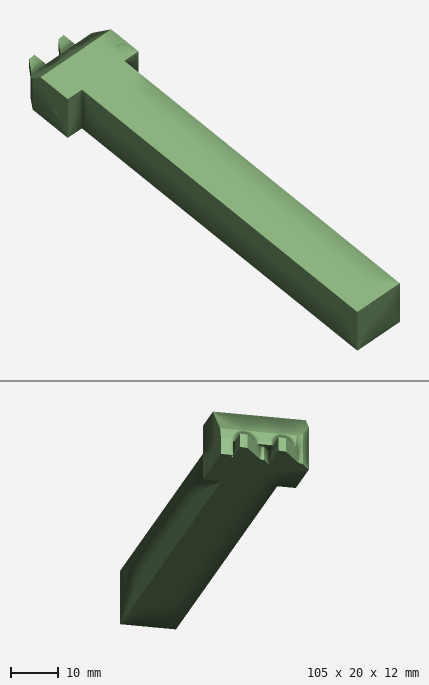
import cadquery as cq
import math

length = 105.0
width = 20.0
height = 12.0

shank_width = 12.0
shank_y = (width - shank_width) / 2

head_back_x = 20.0
face_x = 4.9
face_top_z = 3.6
bevel_start_x = 5.6
bevel_start_z = 6.0
bevel_end_x = bevel_start_x + height - bevel_start_z

tooth_height = 3.0
tooth_pitch = 8.25
tip_width = 1.65
tip_skew = math.radians(7)
tip_lean = tip_width * math.tan(tip_skew)
flank_slope = math.tan(math.radians(36.5))
tooth_root_x = 6.0
lower_tooth_y = 8.9
upper_tooth_y = lower_tooth_y + tooth_pitch

hollow_start = (face_x, 4.0)
hollow_middle = (5.87, 3.0)
hollow_end = (6.3, 2.0)
chamfer_slope = math.tan(math.radians(35))
chamfer_end_x = hollow_end[0] + hollow_end[1] / chamfer_slope

recess_clearance = 0.3
recess_top_y = upper_tooth_y + recess_clearance
recess_bend_y = 10.45
recess_end_x = tooth_root_x + (recess_bend_y - lower_tooth_y) / chamfer_slope

mark_diameter = 2.4
mark_depth = 0.05
mark_x = 16.95
top_mark_y = 17.9
side_mark_z = 5.8


def make_shank():
    shank_length = length - head_back_x
    shank = cq.Workplane("XY").box(shank_length, shank_width, height, centered=False)
    return shank.translate((head_back_x, shank_y, 0))


def make_head():
    side_profile = [
        (face_x, 0),
        (face_x, face_top_z),
        (bevel_start_x, bevel_start_z),
        (bevel_end_x, height),
        (head_back_x, height),
        (head_back_x, 0),
    ]
    side = cq.Workplane("XZ").polyline(side_profile).close().extrude(-width)
    plan = (
        cq.Workplane("XY")
        .moveTo(face_x, width)
        .lineTo(*hollow_start)
        .threePointArc(hollow_middle, hollow_end)
        .lineTo(chamfer_end_x, 0)
        .lineTo(head_back_x, 0)
        .lineTo(head_back_x, width)
        .close()
        .extrude(height)
    )
    return side.intersect(plan)


def make_recess():
    outline = [
        (face_x, recess_top_y),
        (tooth_root_x, recess_top_y),
        (tooth_root_x, recess_bend_y),
        (recess_end_x, lower_tooth_y),
        (face_x, lower_tooth_y),
    ]
    return cq.Workplane("XY").polyline(outline).close().extrude(tooth_height)


def make_tooth(straight_flank_y):
    slope_start_y = straight_flank_y - tip_width
    slope_end_y = slope_start_y - (tooth_root_x - tip_lean) * flank_slope
    outline = [
        (0, straight_flank_y),
        (tip_lean, slope_start_y),
        (tooth_root_x, slope_end_y),
        (tooth_root_x, straight_flank_y),
    ]
    return cq.Workplane("XY").polyline(outline).close().extrude(tooth_height)


def make_top_mark():
    mark = cq.Workplane("XY").workplane(offset=height).center(mark_x, top_mark_y)
    return mark.circle(mark_diameter / 2).extrude(-mark_depth)


def make_side_mark():
    mark = cq.Workplane("XZ").center(mark_x, side_mark_z)
    return mark.circle(mark_diameter / 2).extrude(-mark_depth)


result = make_shank().union(make_head()).cut(make_recess())
for tooth_y in (lower_tooth_y, upper_tooth_y):
    result = result.union(make_tooth(tooth_y))
result = result.cut(make_top_mark()).cut(make_side_mark())